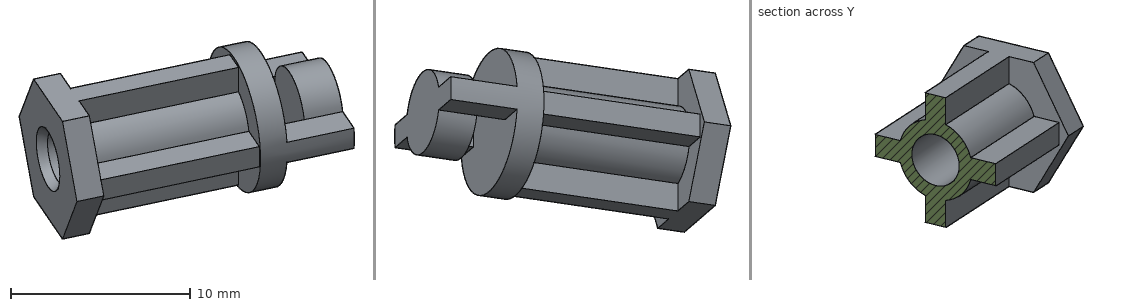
import cadquery as cq
import math

head_sides = 6
head_corner_diameter = 9.12
head_across_flats = head_corner_diameter * math.cos(math.pi / head_sides)
head_length = 1.6

core_diameter = 4.82
rib_span = head_across_flats
rib_thickness = 1.36
shank_length = 9.5

collar_diameter = 8.3
collar_length = 1.6

prong_length = 4.0
plug_length = 2.3
window_width = 2 * math.sqrt((core_diameter / 2) ** 2 - (rib_thickness / 2) ** 2)

hole_diameter = 3.06
hole_mouth_diameter = 3.7
hole_mouth_depth = 0.55

collar_start = head_length + shank_length
prong_start = collar_start + collar_length
part_end = prong_start + prong_length
plug_start = part_end - plug_length

hole_depth = collar_start


def plane_at(y):
    """Sketch plane at station y, facing +Y."""
    return cq.Workplane(cq.Plane(origin=(0, y, 0), xDir=(1, 0, 0), normal=(0, 1, 0)))


def cylinder(diameter, y, length):
    return plane_at(y).circle(diameter / 2).extrude(length)


def bar(x_size, z_size, y, length):
    return plane_at(y).rect(x_size, z_size).extrude(length)


def make_head():
    return plane_at(0).polygon(head_sides, head_corner_diameter).extrude(head_length)


def make_shank():
    core = cylinder(core_diameter, head_length, shank_length)
    side_ribs = bar(rib_span, rib_thickness, head_length, shank_length)
    upright_ribs = bar(rib_thickness, rib_span, head_length, shank_length)
    return core.union(side_ribs).union(upright_ribs)


def make_prongs():
    blade = cylinder(collar_diameter, prong_start, prong_length).intersect(
        bar(collar_diameter, rib_thickness, prong_start, prong_length)
    )
    window = bar(window_width, rib_thickness, prong_start, prong_length)
    plug = cylinder(core_diameter, plug_start, plug_length)
    return blade.cut(window).union(plug)


def make_hole():
    bore = cylinder(hole_diameter, 0, hole_depth)
    mouth = plane_at(0).circle(hole_mouth_diameter / 2).workplane(offset=hole_mouth_depth)
    mouth = mouth.circle(hole_diameter / 2).loft(ruled=True)
    return bore.union(mouth)


collar = cylinder(collar_diameter, collar_start, collar_length)
result = make_head().union(make_shank()).union(collar).union(make_prongs()).cut(make_hole())